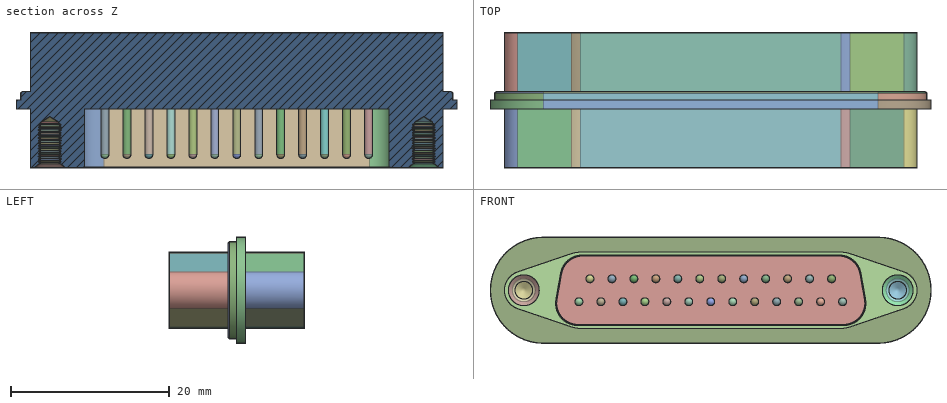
import cadquery as cq
import math

LENGTH = 55.5
DEPTH = 17.05
FLANGE_HEIGHT = 13.4
FRONT_Y = -DEPTH / 2

FLANGE_FRONT_Y = -1.1
FLANGE_BACK_Y = 0.05
PAD_BACK_Y = 1.1
PAD_INSET = 0.55
PAD_CHAMFER = 0.195

SHELL_HEIGHT = 9.6
SHELL_CORNER_X = 17.0
SHELL_CORNER_RADIUS = 3.55
SCREW_X = 23.55
LUG_RADIUS = 2.45

SOCKET_CHAMFER = 0.14
SOCKET_HEIGHT = 8.6
SOCKET_MID_WIDTH = 38.3
SOCKET_SIDE_ANGLE = 10.0
SOCKET_CORNER_RADIUS = 2.65
SOCKET_FLOOR_Y = FLANGE_FRONT_Y

PIN_RADIUS = 0.5
PIN_ROW_Z = 1.45
LOWER_PIN_COUNT = 13
LOWER_ROW_SPAN = 33.2
PIN_PITCH = LOWER_ROW_SPAN / (LOWER_PIN_COUNT - 1)
PIN_TIP_Y = -7.3

COUNTERSINK_RADIUS = 1.95
COUNTERSINK_DEPTH = 0.45
THREAD_MAJOR_RADIUS = 1.45
THREAD_MINOR_RADIUS = 1.1
THREAD_PITCH = 0.35
THREAD_TURNS = 16
DRILL_POINT_DEPTH = 0.65

OVERLAP = 0.55


def front_plane(y):
    """Sketch plane facing -Y: local x is X, local y is Z, extrusion runs toward -Y."""
    return cq.Workplane("XZ", origin=(0, y, 0))


def rounded_plate(length, height, front_y, back_y):
    """Plate with semicircular ends."""
    return front_plane(back_y).slot2D(length, height).extrude(back_y - front_y)


def make_flange():
    flange = rounded_plate(LENGTH, FLANGE_HEIGHT, FLANGE_FRONT_Y, FLANGE_BACK_Y)
    pad = rounded_plate(
        LENGTH - 2 * PAD_INSET,
        FLANGE_HEIGHT - 2 * PAD_INSET,
        FLANGE_BACK_Y - OVERLAP,
        PAD_BACK_Y,
    )
    return flange.union(pad.faces(">Y").chamfer(PAD_CHAMFER))


def make_shell():
    half_height = SHELL_HEIGHT / 2
    reach = SCREW_X - SHELL_CORNER_X
    corner_to_lug = math.hypot(reach, half_height)
    taper = math.atan2(half_height, reach) - math.asin(LUG_RADIUS / corner_to_lug)
    tangent_x = SCREW_X + LUG_RADIUS * math.sin(taper)
    tangent_z = LUG_RADIUS * math.cos(taper)
    lug_end_x = SCREW_X + LUG_RADIUS

    shell = (
        front_plane(DEPTH / 2)
        .moveTo(-SHELL_CORNER_X, half_height)
        .lineTo(SHELL_CORNER_X, half_height)
        .lineTo(tangent_x, tangent_z)
        .threePointArc((lug_end_x, 0), (tangent_x, -tangent_z))
        .lineTo(SHELL_CORNER_X, -half_height)
        .lineTo(-SHELL_CORNER_X, -half_height)
        .lineTo(-tangent_x, -tangent_z)
        .threePointArc((-lug_end_x, 0), (-tangent_x, tangent_z))
        .close()
        .extrude(DEPTH)
    )
    corners = cq.selectors.BoxSelector(
        (-SHELL_CORNER_X - OVERLAP, -DEPTH, -SHELL_HEIGHT),
        (SHELL_CORNER_X + OVERLAP, DEPTH, SHELL_HEIGHT),
    )
    return shell.edges("|Y").edges(corners).fillet(SHELL_CORNER_RADIUS)


def make_socket():
    """Solid to remove: a D-shaped cavity, wider at the bottom, with a chamfered mouth."""
    half_height = SOCKET_HEIGHT / 2
    flare = half_height * math.tan(math.radians(SOCKET_SIDE_ANGLE))
    top_x = SOCKET_MID_WIDTH / 2 - flare
    bottom_x = SOCKET_MID_WIDTH / 2 + flare
    corners = [
        (-top_x, half_height),
        (top_x, half_height),
        (bottom_x, -half_height),
        (-bottom_x, -half_height),
    ]
    cavity = (
        front_plane(SOCKET_FLOOR_Y)
        .polyline(corners)
        .close()
        .extrude(SOCKET_FLOOR_Y - FRONT_Y)
        .edges("|Y")
        .fillet(SOCKET_CORNER_RADIUS)
    )
    outline = cavity.faces("<Y").wires().val()
    wide_outline = outline.offset2D(SOCKET_CHAMFER)[0]
    inner_outline = outline.translate(cq.Vector(0, SOCKET_CHAMFER, 0))
    chamfered_mouth = cq.Solid.makeLoft([inner_outline, wide_outline], True)
    return cavity.union(cq.Workplane(chamfered_mouth))


def make_pin():
    """Round-nosed pin on the Y axis, rooted below the socket floor."""
    root_y = SOCKET_FLOOR_Y + OVERLAP
    nose_y = PIN_TIP_Y + PIN_RADIUS
    nose_offset = PIN_RADIUS * math.sqrt(0.5)
    return (
        cq.Workplane("XY")
        .moveTo(0, root_y)
        .lineTo(PIN_RADIUS, root_y)
        .lineTo(PIN_RADIUS, nose_y)
        .threePointArc((nose_offset, nose_y - nose_offset), (0, PIN_TIP_Y))
        .close()
        .revolve(360, (0, 0), (0, 1))
    )


def add_pins(body):
    pin = make_pin()
    rows = [(LOWER_PIN_COUNT, -PIN_ROW_Z), (LOWER_PIN_COUNT - 1, PIN_ROW_Z)]
    for count, row_z in rows:
        for index in range(count):
            pin_x = (index - (count - 1) / 2) * PIN_PITCH
            body = body.union(pin.translate((pin_x, 0, row_z)))
    return body


def make_screw_hole(x):
    """Solid to remove: countersink, ringed thread and a conical drill point."""
    thread_start_y = FRONT_Y + COUNTERSINK_DEPTH
    thread_end_y = thread_start_y + THREAD_TURNS * THREAD_PITCH
    profile = (
        cq.Workplane("XY")
        .moveTo(0, FRONT_Y)
        .lineTo(COUNTERSINK_RADIUS, FRONT_Y)
        .lineTo(THREAD_MAJOR_RADIUS, thread_start_y)
    )
    for turn in range(THREAD_TURNS):
        turn_y = thread_start_y + turn * THREAD_PITCH
        profile = profile.lineTo(THREAD_MINOR_RADIUS, turn_y + THREAD_PITCH / 2)
        if turn < THREAD_TURNS - 1:
            profile = profile.lineTo(THREAD_MAJOR_RADIUS, turn_y + THREAD_PITCH)
    hole = (
        profile.lineTo(THREAD_MINOR_RADIUS, thread_end_y)
        .lineTo(0, thread_end_y + DRILL_POINT_DEPTH)
        .close()
        .revolve(360, (0, 0), (0, 1))
    )
    return hole.translate((x, 0, 0))


result = make_shell().union(make_flange()).cut(make_socket())
result = add_pins(result)
for screw_x in (-SCREW_X, SCREW_X):
    result = result.cut(make_screw_hole(screw_x))